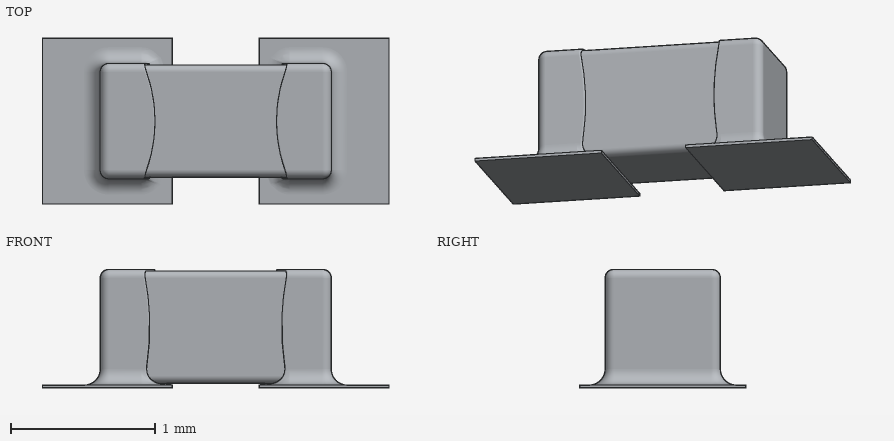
import cadquery as cq

overall_length = 2.4
pad_length = 0.9
pad_width = 1.15
pad_thickness = 0.02

chip_length = 1.6
chip_width = 0.8
overall_height = 0.82
chip_height = overall_height - pad_thickness
chip_mid_z = pad_thickness + chip_height / 2
cap_edge_radius = 0.06
solder_radius = 0.11

cap_wall = 0.0108
body_edge_radius = 0.05

cap_depth_at_crown = 0.42
dome_radius_in_plan = 1.032
dome_radius_in_elevation = 1.92
rim_radius = 0.01

selection_margin = 0.012
dome_overhang = 0.192


def make_body():
    """Ceramic block with every edge rounded, smaller than the envelope by the cap wall."""
    return (
        cq.Workplane("XY")
        .box(chip_length - 2 * cap_wall, chip_width - 2 * cap_wall, chip_height - 2 * cap_wall)
        .edges()
        .fillet(body_edge_radius)
        .translate((0, 0, chip_mid_z))
    )


def make_dome():
    """Barrel turned about a Y axis, whose +X side is the domed inner face of the left cap."""
    crown_x = -chip_length / 2 + cap_depth_at_crown
    axis_x = crown_x - dome_radius_in_elevation
    half_width = chip_width / 2 + dome_overhang
    arc_center_x = crown_x - dome_radius_in_plan
    end_x = arc_center_x + (dome_radius_in_plan**2 - half_width**2) ** 0.5
    return (
        cq.Workplane("XY", origin=(0, 0, chip_mid_z))
        .moveTo(axis_x, -half_width)
        .lineTo(end_x, -half_width)
        .threePointArc((crown_x, 0), (end_x, half_width))
        .lineTo(axis_x, half_width)
        .close()
        .revolve(360, (axis_x, 0), (axis_x, 1))
    )


def make_terminal(body):
    """Left pad, end cap and the concave solder fillet joining them, hollowed for the body."""
    half_envelope = chip_length / 2
    cap = (
        cq.Workplane("XY", origin=(-half_envelope / 2, 0, chip_mid_z))
        .box(half_envelope, chip_width, chip_height)
        .edges("(<X and |Z) or (>Z and (not >X))")
        .fillet(cap_edge_radius)
        .intersect(make_dome())
    )
    cap = cap.faces(">X").edges("not <Z").fillet(rim_radius)
    pad = (
        cq.Workplane("XY", origin=(-overall_length / 2, 0, 0))
        .box(pad_length, pad_width, pad_thickness, centered=(False, True, False))
    )
    joined = pad.union(cap)
    pad_inner_x = pad_length - overall_length / 2
    zone_half_width = chip_width / 2 + selection_margin
    foot_zone = cq.selectors.BoxSelector(
        (-half_envelope - selection_margin, -zone_half_width, pad_thickness - selection_margin),
        (pad_inner_x - selection_margin, zone_half_width, pad_thickness + selection_margin),
    )
    return joined.edges(foot_zone).fillet(solder_radius).cut(body)


body = make_body()
left_terminal = make_terminal(body)
right_terminal = left_terminal.mirror("YZ")

result = cq.Compound.makeCompound([body.val(), left_terminal.val(), right_terminal.val()])